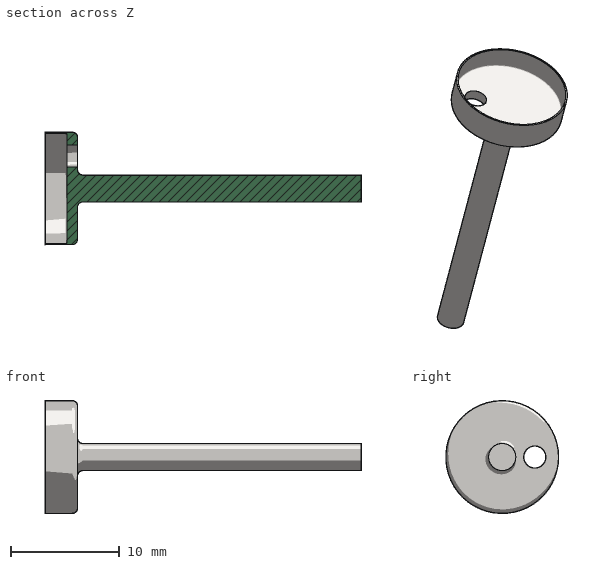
import cadquery as cq

total_length = 29.1
head_diameter = 10.4
head_length = 3.0
stem_diameter = 2.5

wall_thickness = 0.15
cup_depth = 2.0
cup_floor_radius = 0.1
cup_diameter = head_diameter - 2 * wall_thickness

hole_diameter = 2.0
hole_offset = 3.0

round_radius = 0.5


def make_body():
    """Solid head and stem along +X, with the rim and stem root rounded."""
    head_radius = head_diameter / 2
    stem_radius = stem_diameter / 2
    body = (
        cq.Workplane("YZ")
        .circle(head_radius)
        .extrude(head_length)
        .faces(">X")
        .workplane()
        .circle(stem_radius)
        .extrude(total_length - head_length)
    )
    rear_face = cq.selectors.NearestToPointSelector((head_length, 0, head_radius / 2))
    return body.faces(rear_face).edges().fillet(round_radius)


def make_cup():
    """Round pocket opening at X = 0, with a small fillet around its floor."""
    cup = cq.Workplane("YZ").circle(cup_diameter / 2).extrude(cup_depth)
    return cup.faces(">X").edges().fillet(cup_floor_radius)


def make_hole():
    """Off-centre hole running through the whole head."""
    return (
        cq.Workplane("YZ")
        .center(hole_offset, 0)
        .circle(hole_diameter / 2)
        .extrude(head_length)
    )


result = make_body().cut(make_cup()).cut(make_hole())